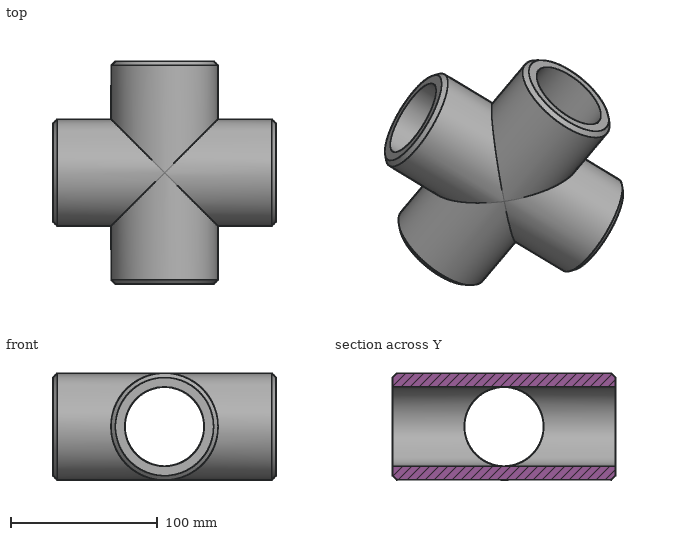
import cadquery as cq

length = 152.0
outer_diameter = 73.0
bore_diameter = 53.8
end_chamfer = 3.0


def pipe_along(plane, diameter):
    """Solid cylinder running the full length, centred on the origin."""
    return cq.Workplane(plane).circle(diameter / 2).extrude(length / 2, both=True)


def chamfered_pipe(plane, end_faces):
    """Outer pipe body with both end rims chamfered."""
    return pipe_along(plane, outer_diameter).faces(end_faces).chamfer(end_chamfer)


body = chamfered_pipe("YZ", "|X").union(chamfered_pipe("XZ", "|Y"))

for bore_plane in ("YZ", "XZ"):
    body = body.cut(pipe_along(bore_plane, bore_diameter))

result = body